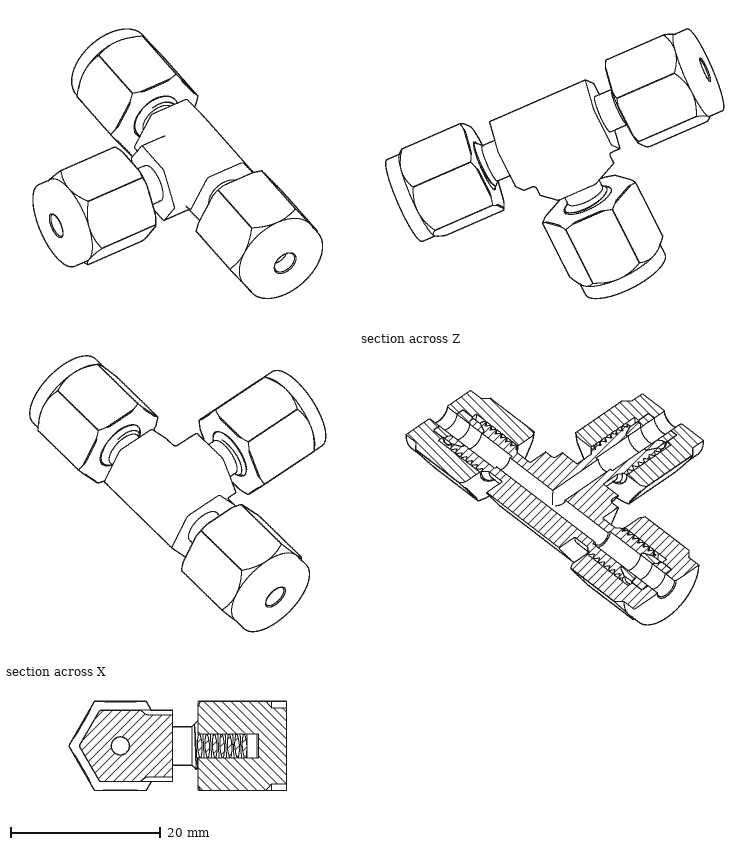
import cadquery as cq
import math

ARM_LENGTH = 22.3
HEX_ANGLE = math.radians(30)

BLOCK_FLATS = 9.6
BLOCK_REACH = 7.1
BRANCH_REACH = 7.0
EDGE_FILLET = 0.5
CORNER_FILLET = 0.65
NECK_DIA = 5.2
BORE_DIA = 2.4

THREAD_START = 9.6
THREAD_END = 17.0
THREAD_DIA = 7.0
THREAD_PITCH = 1.0
THREAD_ROOT_DIA = 5.7
GROOVE_START = 8.65
GROOVE_OVERCUT = 0.1
CREST_WIDTH = 0.12

TUBE_HOLE_DIA = 3.15
SOCKET_FLOOR = 9.6

FERRULE_DIA = 5.4
FRONT_FERRULE_TIP = 15.5
FRONT_FERRULE_TIP_DIA = 4.0
FERRULE_JOINT = 18.3
BACK_FERRULE_END = 20.3
BACK_NOSE_LENGTH = 0.5

NUT_FLATS = 12.0
NUT_CORNER_DIA = 13.82
NUT_LENGTH = 11.9
COLLAR_LENGTH = 2.0
COLLAR_FILLET = 0.12
INNER_FACE_DIA = 12.5
INNER_CHAMFER_LENGTH = 0.42
INNER_EDGE_CHAMFER = 0.12
NUT_CAVITY_END = 18.5
ENTRY_CHAMFER = 0.15

NUT_START = ARM_LENGTH - NUT_LENGTH
HEX_END = ARM_LENGTH - COLLAR_LENGTH

ARM_PLANES = [
    cq.Plane(origin=(0, 0, 0), xDir=(0, 1, 0), normal=(1, 0, 0)),
    cq.Plane(origin=(0, 0, 0), xDir=(0, -1, 0), normal=(-1, 0, 0)),
    cq.Plane(origin=(0, 0, 0), xDir=(1, 0, 0), normal=(0, -1, 0)),
]


def revolve_profile(points):
    """Solid of revolution about Z from (radius, height) points."""
    profile = cq.Workplane("XZ").polyline(points).close()
    return profile.revolve(360, (0, 0, 0), (0, 1, 0))


def cylinder(diameter, start, end):
    return cq.Workplane("XY").workplane(offset=start).circle(diameter / 2).extrude(end - start)


def hex_bar(flats, start, end):
    corner_dia = flats / math.cos(HEX_ANGLE)
    return cq.Workplane("XY").workplane(offset=start).polygon(6, corner_dia).extrude(end - start)


def on_arm(shape, plane):
    return cq.Workplane(shape.val().moved(cq.Location(plane)))


def tee_block():
    """Run bar along X with a branch bar towards -Y, rounded along every edge."""
    run = on_arm(hex_bar(BLOCK_FLATS, -BLOCK_REACH, BLOCK_REACH), ARM_PLANES[0])
    branch = on_arm(hex_bar(BLOCK_FLATS, 0, BRANCH_REACH), ARM_PLANES[2])
    block = run.union(branch)

    corner_radius = BLOCK_FLATS / 2 / math.cos(HEX_ANGLE)
    mitre_middle = 3 / 4 * corner_radius
    for side in (-1, 1):
        for height in (-BLOCK_FLATS / 4, BLOCK_FLATS / 4):
            mitre = cq.selectors.NearestToPointSelector((side * mitre_middle, -mitre_middle, height))
            block = block.edges(mitre).fillet(CORNER_FILLET)

    block = block.faces("<Z or >Z").edges("not(<X or >X or <Y)").fillet(EDGE_FILLET)
    rear_corner = (0, corner_radius, 0)
    left_corner = (-corner_radius, -BRANCH_REACH, 0)
    right_corner = (corner_radius, -BRANCH_REACH, 0)
    for point in (rear_corner, left_corner, right_corner):
        block = block.edges("|X or |Y").edges(cq.selectors.NearestToPointSelector(point)).fillet(EDGE_FILLET)
    return block


def groove_turn(start):
    """One turn of the V groove, bounded by ruled faces between three helices."""
    def helix(diameter, height):
        return cq.Wire.makeHelix(THREAD_PITCH, THREAD_PITCH, diameter / 2).translate(cq.Vector(0, 0, height))

    mouth_half = (THREAD_PITCH - CREST_WIDTH) / 2
    mouth_dia = THREAD_DIA + 2 * GROOVE_OVERCUT
    root = helix(THREAD_ROOT_DIA, start)
    lower = helix(mouth_dia, start - mouth_half)
    upper = helix(mouth_dia, start + mouth_half)
    faces = []
    for first, second in ((root, upper), (upper, lower), (lower, root)):
        faces.extend(cq.Face.makeRuledSurface(first, second).Faces())
    corners_at_start = [wire.startPoint() for wire in (root, upper, lower)]
    corners_at_end = [wire.endPoint() for wire in (root, upper, lower)]
    for corners in (corners_at_start, corners_at_end):
        faces.append(cq.Face.makeFromWires(cq.Wire.makePolygon(corners, close=True)))
    return cq.Workplane(cq.Solid.makeSolid(cq.Shell.makeShell(faces)))


def arm_core():
    """Neck and threaded end of one arm, solid."""
    run_in = (THREAD_DIA - NECK_DIA) / 2
    end = revolve_profile([
        (0, THREAD_START),
        (NECK_DIA / 2, THREAD_START),
        (THREAD_DIA / 2, THREAD_START + run_in),
        (THREAD_DIA / 2, THREAD_END),
        (0, THREAD_END),
    ])
    core = cylinder(NECK_DIA, 0, THREAD_START).union(end)
    turns = math.ceil((THREAD_END - GROOVE_START) / THREAD_PITCH) + 1
    for turn in range(turns):
        core = core.cut(groove_turn(GROOVE_START + turn * THREAD_PITCH))
    return core


def arm_cavity():
    """Flow bore, tube socket and tapered ferrule seat of one arm."""
    seat = revolve_profile([
        (0, FRONT_FERRULE_TIP),
        (FRONT_FERRULE_TIP_DIA / 2, FRONT_FERRULE_TIP),
        (FERRULE_DIA / 2, THREAD_END),
        (0, THREAD_END),
    ])
    socket = cylinder(TUBE_HOLE_DIA, SOCKET_FLOOR, THREAD_END)
    return cylinder(BORE_DIA, 0, THREAD_END).union(socket).union(seat)


def tee_body():
    body = tee_block()
    core = arm_core()
    cavity = arm_cavity()
    for plane in ARM_PLANES:
        body = body.union(on_arm(core, plane))
    for plane in ARM_PLANES:
        body = body.cut(on_arm(cavity, plane))
    return body


def nut():
    """Hexagonal nut with a round collar, bored for thread, ferrules and tube."""
    corner_radius = NUT_CORNER_DIA / 2
    collar_radius = NUT_FLATS / 2
    turned = revolve_profile([
        (0, NUT_START),
        (INNER_FACE_DIA / 2, NUT_START),
        (corner_radius, NUT_START + INNER_CHAMFER_LENGTH),
        (corner_radius, HEX_END - (corner_radius - collar_radius)),
        (collar_radius, HEX_END),
        (0, HEX_END),
    ])
    collar = cylinder(NUT_FLATS, HEX_END, ARM_LENGTH).faces(">Z").edges().fillet(COLLAR_FILLET)
    hexagon = hex_bar(NUT_FLATS, NUT_START, HEX_END).intersect(turned)
    blank = hexagon.faces("<Z").edges().chamfer(INNER_EDGE_CHAMFER).union(collar)
    cavity = revolve_profile([
        (0, NUT_START),
        (THREAD_DIA / 2, NUT_START),
        (THREAD_DIA / 2, NUT_CAVITY_END),
        (FERRULE_DIA / 2, NUT_CAVITY_END),
        (FERRULE_DIA / 2, BACK_FERRULE_END),
        (TUBE_HOLE_DIA / 2, BACK_FERRULE_END),
        (TUBE_HOLE_DIA / 2, ARM_LENGTH - ENTRY_CHAMFER),
        (TUBE_HOLE_DIA / 2 + ENTRY_CHAMFER, ARM_LENGTH),
        (0, ARM_LENGTH),
    ])
    return blank.cut(cavity)


def front_ferrule():
    """Tapered ring seated in the arm, countersunk for the back ferrule."""
    inner = TUBE_HOLE_DIA / 2
    return revolve_profile([
        (inner, FRONT_FERRULE_TIP),
        (FRONT_FERRULE_TIP_DIA / 2, FRONT_FERRULE_TIP),
        (FERRULE_DIA / 2, THREAD_END),
        (FERRULE_DIA / 2, FERRULE_JOINT),
        (inner + BACK_NOSE_LENGTH, FERRULE_JOINT),
        (inner, FERRULE_JOINT - BACK_NOSE_LENGTH),
    ])


def back_ferrule():
    """Ring between the front ferrule and the nut, with a pointed nose."""
    inner = TUBE_HOLE_DIA / 2
    return revolve_profile([
        (inner, FERRULE_JOINT - BACK_NOSE_LENGTH),
        (inner + BACK_NOSE_LENGTH, FERRULE_JOINT),
        (FERRULE_DIA / 2, FERRULE_JOINT),
        (FERRULE_DIA / 2, BACK_FERRULE_END),
        (inner, BACK_FERRULE_END),
    ])


nuts = [on_arm(nut(), plane) for plane in ARM_PLANES]
front_ferrules = [on_arm(front_ferrule(), plane) for plane in ARM_PLANES]
back_ferrules = [on_arm(back_ferrule(), plane) for plane in ARM_PLANES]
fitted_parts = nuts + front_ferrules + back_ferrules

result = cq.Compound.makeCompound([tee_body().val()] + [part.val() for part in fitted_parts])